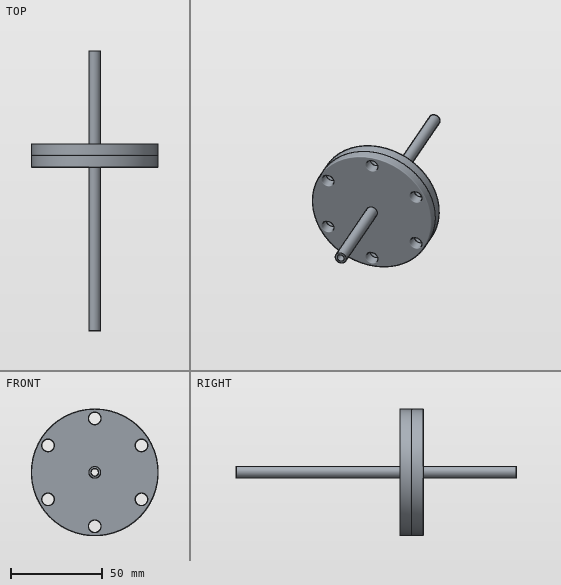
import cadquery as cq
import math

flange_diameter = 69.0
flange_thickness = 6.4
rim_rounding = 0.5

bolt_count = 6
bolt_hole_diameter = 6.7
bolt_circle_diameter = 58.7
hole_rounding = 0.3

tube_diameter = 6.4
bore_diameter = 4.0
overall_length = 152.4
front_reach = 95.4
rear_reach = overall_length - front_reach


def rod(diameter, length, x=0.0, z=0.0):
    """Cylinder running from the plane Y = 0 toward +Y, with its axis at (x, z)."""
    start = cq.Vector(x, 0, z)
    return cq.Workplane(cq.Solid.makeCylinder(diameter / 2, length, start, cq.Vector(0, 1, 0)))


def flange_disc():
    """Disc with both rims rounded and a ring of bolt holes, the first at the top."""
    disc = rod(flange_diameter, flange_thickness).edges("%CIRCLE").fillet(rim_rounding)
    for index in range(bolt_count):
        angle = math.radians(90 + index * 360 / bolt_count)
        hole_x = bolt_circle_diameter / 2 * math.cos(angle)
        hole_z = bolt_circle_diameter / 2 * math.sin(angle)
        disc = disc.cut(rod(bolt_hole_diameter, flange_thickness, hole_x, hole_z))
    hole_mouth = cq.selectors.RadiusNthSelector(0)
    return disc.faces(">Y").edges(hole_mouth).fillet(hole_rounding)


def tubed_flange(reach):
    """Flange with a tube ending at Y = reach; the bore runs through both."""
    return flange_disc().union(rod(tube_diameter, reach)).cut(rod(bore_diameter, reach))


rear_flange = tubed_flange(rear_reach)
front_flange = tubed_flange(front_reach).mirror("XZ")

result = cq.Compound.makeCompound([front_flange.val(), rear_flange.val()])